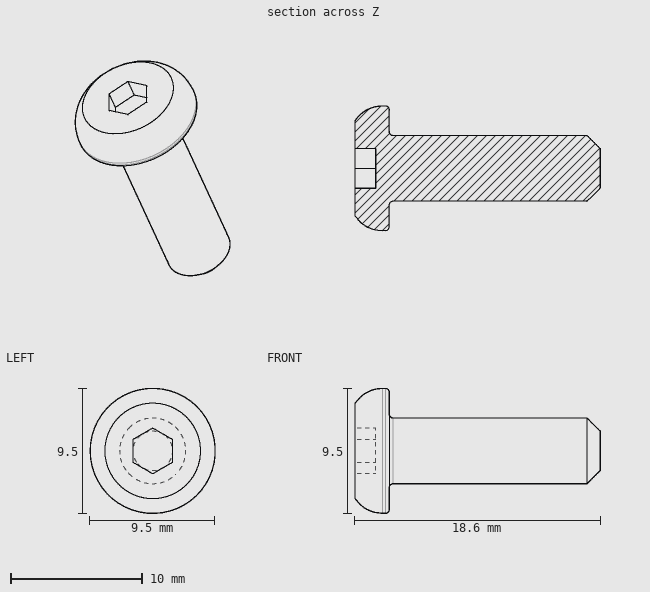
import cadquery as cq
import math

head_diameter = 9.5
head_height = 2.6
head_face_diameter = 7.25
head_edge_radius = 0.30
head_rim_width = 0.20
shank_diameter = 5.0
shank_length = 16.0
neck_radius = 0.30
tip_chamfer = 1.0
socket_across_flats = 3.0
socket_depth = 1.56

head_radius = head_diameter / 2
head_face_radius = head_face_diameter / 2
shank_radius = shank_diameter / 2
total_length = head_height + shank_length
rim_end = head_height - head_edge_radius
dome_end = rim_end - head_rim_width


def arc_midpoint(center, radius, start_degrees, end_degrees):
    """Point halfway along a circular arc in the profile plane."""
    angle = math.radians((start_degrees + end_degrees) / 2)
    return (center[0] + radius * math.cos(angle), center[1] + radius * math.sin(angle))


def dome_midpoint():
    """Middle of the dome arc, which runs tangentially into the cylindrical rim."""
    drop = head_radius - head_face_radius
    dome_radius = (dome_end**2 + drop**2) / (2 * drop)
    center = (dome_end, head_radius - dome_radius)
    start_degrees = math.degrees(math.atan2(head_face_radius - center[1], -dome_end))
    return arc_midpoint(center, dome_radius, start_degrees, 90)


def screw_body():
    """Head and shank as one half profile revolved about the X axis."""
    edge_center = (rim_end, head_radius - head_edge_radius)
    neck_center = (head_height + neck_radius, shank_radius + neck_radius)
    profile = (
        cq.Workplane("XY")
        .moveTo(0, 0)
        .lineTo(0, head_face_radius)
        .threePointArc(dome_midpoint(), (dome_end, head_radius))
        .lineTo(rim_end, head_radius)
        .threePointArc(
            arc_midpoint(edge_center, head_edge_radius, 90, 0),
            (head_height, edge_center[1]),
        )
        .lineTo(head_height, neck_center[1])
        .threePointArc(
            arc_midpoint(neck_center, neck_radius, 180, 270),
            (neck_center[0], shank_radius),
        )
        .lineTo(total_length - tip_chamfer, shank_radius)
        .lineTo(total_length, shank_radius - tip_chamfer)
        .lineTo(total_length, 0)
        .close()
    )
    return profile.revolve(360, (0, 0, 0), (1, 0, 0))


def hexagon_socket():
    """Flat-bottomed hexagonal prism with two corners on the Z axis."""
    across_corners = socket_across_flats / math.cos(math.radians(30))
    hexagon = cq.Workplane("YZ").polygon(6, across_corners).extrude(socket_depth)
    return hexagon.rotate((0, 0, 0), (1, 0, 0), 90)


result = screw_body().cut(hexagon_socket())